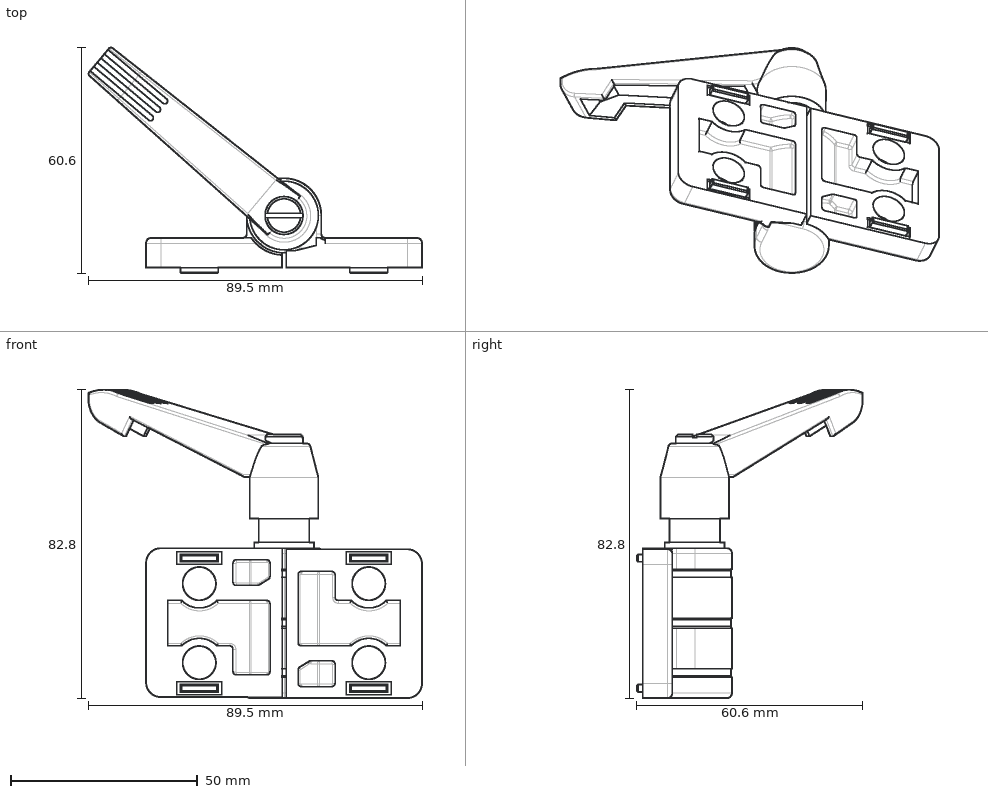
import cadquery as cq
import math


LEAF_REACH = 37.0
LEAF_GAP_HALF = 0.5
FRONT_Y = -14.0
BACK_Y = -6.0
HINGE_HEIGHT = 40.3
PLATE_HEIGHT = 40.0
CORNER_RADIUS = 4.0
BACK_EDGE_FILLET = 1.4

HOLE_X = 22.7
HOLE_RADIUS = 4.43
HOLE_PITCH = 21.2
LUG_PITCH = 34.9
LUG_LENGTH = 10.2
LUG_WIDTH = 2.1
LUG_PROTRUSION = 1.5
LUG_CHAMFER = 0.4
LUG_RECESS_LENGTH = 12.1
LUG_RECESS_WIDTH = 3.4
LUG_RECESS_DEPTH = 0.7

POCKET_FLOOR_Y = -9.1
POCKET_INNER_X = 3.8
POCKET_OUTER_X = 13.7
POCKET_CORNER = 0.9
POCKET_FLOOR_FILLET = 0.7
TALL_POCKET_BOTTOM = 14.05
TALL_POCKET_TOP = 34.0
ARM_POCKET_TOP = 26.2
ARM_POCKET_END_X = 31.1
SMALL_POCKET_BOTTOM = 3.1
SMALL_POCKET_TOP = 10.0
SMALL_POCKET_CUT_X = 3.1
SMALL_POCKET_CUT_Z = 2.0
HOLE_BOSS_RADIUS = 6.5
POCKET_HUB_RADIUS = 12.9

KNUCKLE_RADIUS = 10.0
KNUCKLE_CLEARANCE = 0.6
KNUCKLE_ROOT_FILLET = 1.1
KNUCKLE_END_FILLET = 1.4
SHOULDER_RADIUS = 9.75
SHOULDER_HEIGHT = 0.45
RING_RADIUS = 9.75
RING_HEIGHT = 1.8
END_KNUCKLE_LENGTH = 5.6
MIDDLE_GAP = RING_HEIGHT + 2 * SHOULDER_HEIGHT
END_KNUCKLE_BOTTOM = HINGE_HEIGHT - END_KNUCKLE_LENGTH
MIDDLE_KNUCKLE_BOTTOM = END_KNUCKLE_LENGTH + SHOULDER_HEIGHT + RING_HEIGHT
MIDDLE_KNUCKLE_TOP = (HINGE_HEIGHT - MIDDLE_GAP) / 2
MID_Z = HINGE_HEIGHT / 2

WASHER_RADIUS = 8.05
WASHER_HEIGHT = 1.5
SLEEVE_RADIUS = 6.8
SLEEVE_HEIGHT = 6.35
HUB_RADIUS = 9.2
HUB_TOP_RADIUS = 6.9
HUB_CYLINDER_HEIGHT = 11.2
HUB_CONE_HEIGHT = 9.0
HUB_TOP_FILLET = 1.1
SLEEVE_BOTTOM = HINGE_HEIGHT + WASHER_HEIGHT
HUB_BOTTOM = SLEEVE_BOTTOM + SLEEVE_HEIGHT
HUB_CONE_BOTTOM = HUB_BOTTOM + HUB_CYLINDER_HEIGHT
HUB_TOP = HUB_CONE_BOTTOM + HUB_CONE_HEIGHT

LEVER_ANGLE = 140.0
LEVER_LENGTH = 64.8
ARM_ROOT_HALF_WIDTH = 6.8
ARM_TIP_HALF_WIDTH = 4.8
ARM_EDGE_FILLET = 0.7

ARM_UNDERSIDE_ROOT = (8.95, HUB_CONE_BOTTOM)
ARM_UNDERSIDE_END = (49.4, 74.8)
GRIP_HEEL = (52.2, 70.2)
GRIP_UNDERSIDE_END = (60.7, 73.9)
GRIP_NOSE = (63.5, 76.2)
TIP_BOTTOM = (LEVER_LENGTH, 79.3)
TIP_TOP = (LEVER_LENGTH, 81.95)
GRIP_CREST = (59.9, 82.75)
ARM_TOP_END = (54.1, 81.7)
ARM_TOP_ROOT = (0, 68.7)
ARM_TOP_SLOPE = (ARM_TOP_END[1] - ARM_TOP_ROOT[1]) / ARM_TOP_END[0]
ARM_CREASE_X = 7.9
ARM_CREASE_Z = ARM_TOP_ROOT[1] + ARM_TOP_SLOPE * ARM_CREASE_X

ARM_WALL = 1.6
CAVITY_ROOT = (11.6, 63.2)
CAVITY_CEILING_END = (51.0, 78.3)
CAVITY_NOSE = (56.4, 77.4)
CAVITY_TIP = (59.9, 72.5)
CAVITY_OPEN_END = (53.7, HUB_CONE_BOTTOM)

GROOVE_COUNT = 3
GROOVE_PITCH = 2.95
GROOVE_WIDTH = 1.5
GROOVE_DEPTH = 0.45
GROOVE_START = 43.5

SCREW_RADIUS = 5.1
SCREW_HEIGHT = 2.4
SCREW_CHAMFER = 0.6
SLOT_WIDTH = 1.2
SLOT_DEPTH = 0.9


def box_between(x0, x1, y0, y1, z0, z1):
    return cq.Workplane("XY").box(x1 - x0, y1 - y0, z1 - z0, centered=False).translate((x0, y0, z0))


def disc(radius, bottom, height):
    return cq.Workplane("XY").workplane(offset=bottom).circle(radius).extrude(height)


def plate():
    body = box_between(LEAF_GAP_HALF, LEAF_REACH, FRONT_Y, BACK_Y, 0, PLATE_HEIGHT)
    body = body.edges("|Y and >X").fillet(CORNER_RADIUS)
    outer_rim = cq.selectors.BoxSelector((2 * LEAF_GAP_HALF, FRONT_Y, -0.9), (LEAF_REACH + 0.9, 0, PLATE_HEIGHT + 0.9))
    return body.faces(">Y").edges(outer_rim).fillet(BACK_EDGE_FILLET)


def knuckle(bottom, top):
    """Round hinge eye with a straight wall that runs into the plate on the leaf's own side."""
    root = KNUCKLE_RADIUS + KNUCKLE_ROOT_FILLET
    diagonal = KNUCKLE_RADIUS * math.sqrt(0.5)
    bend = KNUCKLE_ROOT_FILLET * (1 - math.sqrt(0.5))
    inside_y = BACK_Y - BACK_EDGE_FILLET
    return (
        cq.Workplane("XY")
        .workplane(offset=bottom)
        .moveTo(0, -KNUCKLE_RADIUS)
        .threePointArc((-KNUCKLE_RADIUS, 0), (0, KNUCKLE_RADIUS))
        .threePointArc((diagonal, diagonal), (KNUCKLE_RADIUS, 0))
        .lineTo(KNUCKLE_RADIUS, BACK_Y + KNUCKLE_ROOT_FILLET)
        .threePointArc((KNUCKLE_RADIUS + bend, BACK_Y + bend), (root, BACK_Y))
        .lineTo(root, inside_y)
        .lineTo(LEAF_GAP_HALF, -KNUCKLE_RADIUS)
        .close()
        .extrude(top - bottom)
    )


def end_knuckle():
    body = knuckle(END_KNUCKLE_BOTTOM, HINGE_HEIGHT)
    reach = 2 * KNUCKLE_RADIUS
    rim = cq.selectors.BoxSelector((-reach, BACK_Y + 0.1, 0), (reach, reach, HINGE_HEIGHT + 0.9))
    body = body.faces(">Z").edges(rim).fillet(KNUCKLE_END_FILLET)
    root_x = KNUCKLE_RADIUS - KNUCKLE_END_FILLET
    body = body.cut(box_between(root_x, 2 * root_x, FRONT_Y, BACK_Y, PLATE_HEIGHT, HINGE_HEIGHT))
    return body.union(disc(SHOULDER_RADIUS, END_KNUCKLE_BOTTOM - SHOULDER_HEIGHT, SHOULDER_HEIGHT))


def middle_knuckle():
    body = knuckle(MIDDLE_KNUCKLE_BOTTOM, MIDDLE_KNUCKLE_TOP)
    return body.union(disc(SHOULDER_RADIUS, MIDDLE_KNUCKLE_TOP, SHOULDER_HEIGHT))


def pocket_prism(outline):
    """Pocket with rounded corners, from an (x, z) outline drawn on the front face."""
    prism = outline.close().extrude(FRONT_Y - POCKET_FLOOR_Y)
    hub_side = cq.selectors.BoxSelector((0, FRONT_Y, 0), (POCKET_OUTER_X + 0.9, 0, HINGE_HEIGHT))
    return prism.edges("|Y").edges(hub_side).fillet(POCKET_CORNER)


def pockets():
    front = cq.Workplane("XZ", origin=(0, FRONT_Y, 0))
    tall = pocket_prism(
        front.moveTo(POCKET_INNER_X, TALL_POCKET_BOTTOM)
        .lineTo(ARM_POCKET_END_X, TALL_POCKET_BOTTOM)
        .lineTo(ARM_POCKET_END_X, ARM_POCKET_TOP)
        .lineTo(POCKET_OUTER_X, ARM_POCKET_TOP)
        .lineTo(POCKET_OUTER_X, TALL_POCKET_TOP)
        .lineTo(POCKET_INNER_X, TALL_POCKET_TOP)
    )
    small = pocket_prism(
        front.moveTo(POCKET_INNER_X, SMALL_POCKET_BOTTOM)
        .lineTo(POCKET_OUTER_X, SMALL_POCKET_BOTTOM)
        .lineTo(POCKET_OUTER_X, SMALL_POCKET_TOP)
        .lineTo(POCKET_INNER_X + SMALL_POCKET_CUT_X, SMALL_POCKET_TOP)
        .lineTo(POCKET_INNER_X, SMALL_POCKET_TOP - SMALL_POCKET_CUT_Z)
    )
    for boss_z in spread(HOLE_PITCH):
        boss = cq.Workplane("XZ", origin=(HOLE_X, 0, boss_z)).circle(HOLE_BOSS_RADIUS).extrude(-FRONT_Y)
        tall = tall.cut(boss)
    hub_wall = disc(POCKET_HUB_RADIUS, 0, HINGE_HEIGHT)
    inside = cq.selectors.BoxSelector((0, FRONT_Y + 0.1, 0), (ARM_POCKET_END_X - 0.1, 0, HINGE_HEIGHT))
    rounded = []
    for prism in (tall, small):
        prism = prism.cut(hub_wall)
        rounded.append(prism.edges("not |Y").edges(inside).fillet(POCKET_FLOOR_FILLET))
    return rounded[0].union(rounded[1])


def spread(pitch):
    """Two heights placed evenly about the middle of the hinge."""
    return (MID_Z - pitch / 2, MID_Z + pitch / 2)


def leaf():
    """The +X leaf; the -X leaf is the same part turned half a turn about the Y direction."""
    body = plate()
    clearance_radius = KNUCKLE_RADIUS + KNUCKLE_CLEARANCE
    body = body.cut(disc(clearance_radius, 0, MIDDLE_KNUCKLE_BOTTOM))
    opening = END_KNUCKLE_BOTTOM - MIDDLE_KNUCKLE_TOP
    body = body.cut(disc(clearance_radius, MIDDLE_KNUCKLE_TOP, opening))
    body = body.union(end_knuckle()).union(middle_knuckle())
    body = body.cut(pockets())
    for z in spread(HOLE_PITCH):
        hole = cq.Workplane("XZ", origin=(HOLE_X, 0, z)).circle(HOLE_RADIUS).extrude(-FRONT_Y)
        body = body.cut(hole)
    for z in spread(LUG_PITCH):
        front = cq.Workplane("XZ", origin=(HOLE_X, FRONT_Y + LUG_RECESS_DEPTH, z))
        recess = front.rect(LUG_RECESS_LENGTH, LUG_RECESS_WIDTH).extrude(LUG_RECESS_DEPTH)
        lug = front.rect(LUG_LENGTH, LUG_WIDTH).extrude(LUG_RECESS_DEPTH + LUG_PROTRUSION)
        body = body.cut(recess).union(lug.faces("<Y").chamfer(LUG_CHAMFER))
    return body


right_leaf = leaf()
left_leaf = leaf().rotate((0, 0, MID_Z), (0, 1, MID_Z), 180)

bushings = []
for ring_bottom in (
    MIDDLE_KNUCKLE_BOTTOM - RING_HEIGHT,
    MID_Z - RING_HEIGHT / 2,
    END_KNUCKLE_BOTTOM - SHOULDER_HEIGHT - RING_HEIGHT,
):
    bushings.append(disc(RING_RADIUS, ring_bottom, RING_HEIGHT).val())

washer = disc(WASHER_RADIUS, HINGE_HEIGHT, WASHER_HEIGHT)
sleeve = disc(SLEEVE_RADIUS, SLEEVE_BOTTOM, SLEEVE_HEIGHT)


def lever_hub():
    body = disc(HUB_RADIUS, HUB_BOTTOM, HUB_CYLINDER_HEIGHT)
    base = cq.Vector(0, 0, HUB_CONE_BOTTOM)
    cone = cq.Solid.makeCone(HUB_RADIUS, HUB_TOP_RADIUS, HUB_CONE_HEIGHT, pnt=base)
    return body.union(cq.Workplane(cone)).faces(">Z").edges().fillet(HUB_TOP_FILLET)


def tapered_plan(inset):
    """Straight-sided plan of the arm, narrowed on each side by the inset."""
    root = ARM_ROOT_HALF_WIDTH - inset
    tip = ARM_TIP_HALF_WIDTH - inset
    corners = [(0, -root), (LEVER_LENGTH, -tip), (LEVER_LENGTH, tip), (0, root)]
    return cq.Workplane("XY").polyline(corners).close().extrude(HUB_TOP + HUB_BOTTOM)


def arm_blank():
    side = (
        cq.Workplane("XZ")
        .moveTo(0, HUB_CONE_BOTTOM)
        .lineTo(*ARM_UNDERSIDE_ROOT)
        .lineTo(*ARM_UNDERSIDE_END)
        .lineTo(*GRIP_HEEL)
        .lineTo(*GRIP_UNDERSIDE_END)
        .threePointArc(GRIP_NOSE, TIP_BOTTOM)
        .lineTo(*TIP_TOP)
        .threePointArc(GRIP_CREST, ARM_TOP_END)
        .lineTo(*ARM_TOP_ROOT)
        .close()
        .extrude(HUB_RADIUS, both=True)
    )
    body = side.intersect(tapered_plan(0))
    zone_start = (HUB_TOP_FILLET, -HUB_RADIUS, 0)
    zone_end = (LEVER_LENGTH + 0.9, HUB_RADIUS, 2 * HUB_TOP)
    fillet_zone = cq.selectors.BoxSelector(zone_start, zone_end)
    body = body.faces("<Y or >Y").edges(fillet_zone).fillet(ARM_EDGE_FILLET)
    crease_relief = (
        cq.Workplane("XZ")
        .polyline([(0, HUB_TOP), (ARM_CREASE_X, ARM_CREASE_Z), (0, ARM_CREASE_Z)])
        .close()
        .extrude(HUB_RADIUS, both=True)
    )
    return body.cut(crease_relief)


def arm_cavity():
    channel = (
        cq.Workplane("XZ")
        .polyline([
            (CAVITY_ROOT[0], HUB_CONE_BOTTOM),
            CAVITY_ROOT,
            CAVITY_CEILING_END,
            CAVITY_NOSE,
            CAVITY_TIP,
            CAVITY_OPEN_END,
        ])
        .close()
        .extrude(HUB_RADIUS, both=True)
    )
    return channel.intersect(tapered_plan(ARM_WALL))


def grip_grooves():
    """Finger grooves that follow the top of the grip at a constant depth."""
    start_z = ARM_TOP_ROOT[1] + ARM_TOP_SLOPE * GROOVE_START
    blank = (
        cq.Workplane("XZ", origin=(0, 0, -GROOVE_DEPTH))
        .moveTo(GROOVE_START, start_z)
        .lineTo(*ARM_TOP_END)
        .threePointArc(GRIP_CREST, TIP_TOP)
        .lineTo(LEVER_LENGTH, GRIP_CREST[1] + 2 * GROOVE_DEPTH)
        .lineTo(GROOVE_START, GRIP_CREST[1] + 2 * GROOVE_DEPTH)
        .close()
        .extrude(GROOVE_WIDTH / 2, both=True)
        .edges("|Z and <X")
        .fillet(0.98 * GROOVE_WIDTH / 2)
    )
    grooves = cq.Workplane("XY")
    for index in range(GROOVE_COUNT):
        grooves = grooves.add(blank.translate((0, (index - (GROOVE_COUNT - 1) / 2) * GROOVE_PITCH, 0)))
    return grooves.combine()


screw_seat = disc(SCREW_RADIUS, HUB_TOP, SCREW_HEIGHT)
lever = lever_hub().union(arm_blank())
lever = lever.cut(arm_cavity()).cut(grip_grooves()).cut(screw_seat)
lever = lever.rotate((0, 0, 0), (0, 0, 1), LEVER_ANGLE)


def slotted_screw():
    body = disc(SCREW_RADIUS, HUB_TOP, SCREW_HEIGHT).faces(">Z").edges().chamfer(SCREW_CHAMFER)
    top = HUB_TOP + SCREW_HEIGHT
    slot = box_between(-SCREW_RADIUS, SCREW_RADIUS, -SLOT_WIDTH / 2, SLOT_WIDTH / 2, top - SLOT_DEPTH, top)
    return body.cut(slot)


screw = slotted_screw()

result = cq.Compound.makeCompound(
    [left_leaf.val(), right_leaf.val(), *bushings, washer.val(), sleeve.val(), lever.val(), screw.val()]
)